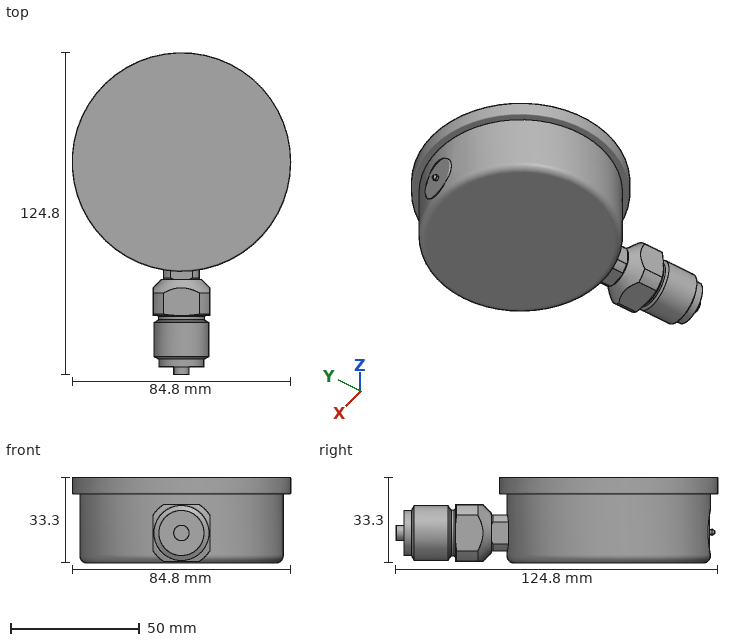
import cadquery as cq

total_height = 33.3
bezel_diameter = 84.8
bezel_height = 6.5
bezel_edge_round = 0.5
case_diameter = 79.0
case_bottom_round = 3.0

connector_axis_z = 11.7
connector_tip_y = -82.45
pin_diameter = 6.0
pin_length = 3.0
collar_diameter = 17.5
collar_length = 3.0
thread_diameter = 21.36
thread_length = 14.9
thread_tip_chamfer_length = 1.0
thread_root_chamfer_length = 0.75
relief_diameter = 18.0
relief_length = 2.1
relief_taper_length = 0.5
relief_taper_height = 0.35
wrench_flats = 22.0
wrench_corner_diameter = 26.0
wrench_length = 14.0
wrench_face_chamfer_length = 0.5
wrench_face_diameter = 22.5
neck_flats = 14.0
neck_corner_diameter = 16.4
neck_end_chamfer = 0.5
neck_end_y = -30.0

plug_axis_z = 12.0
plug_diameter = 17.5
plug_face_y = 39.15
plug_edge_round = 0.5
plug_depth = 5.0
vent_stalk_diameter = 2.0
vent_head_diameter = 2.5
vent_tip_diameter = 1.0
vent_head_y = 40.1
vent_tip_y = 41.2


def cylinder_along_y(diameter, start_y, end_y, axis_z):
    """Solid cylinder parallel to Y between two Y positions."""
    plane = cq.Workplane("XZ", origin=(0, start_y, axis_z))
    return plane.circle(diameter / 2).extrude(start_y - end_y)


def turned_along_y(profile, axis_z):
    """Solid of revolution about a Y axis; profile holds (radius, y) points between its axis ends."""
    axis_start = (0, profile[0][1])
    axis_end = (0, profile[-1][1])
    outline = cq.Workplane("XY", origin=(0, 0, axis_z)).polyline([axis_start, *profile, axis_end])
    return outline.close().revolve(360, (0, 0, 0), (0, 1, 0))


def flatted(turned, across_flats, start_y, end_y):
    """Trim a turned blank on the connector axis to a square bar, leaving round corners."""
    bar = cq.Workplane("XZ", origin=(0, start_y, connector_axis_z))
    bar = bar.rect(across_flats, across_flats).extrude(start_y - end_y)
    return turned.intersect(bar)


def make_housing():
    bezel_bottom_z = total_height - bezel_height
    case = cq.Workplane("XY").circle(case_diameter / 2).extrude(total_height - bezel_height / 2)
    case = case.faces("<Z").edges().fillet(case_bottom_round)
    bezel = cq.Workplane("XY", origin=(0, 0, bezel_bottom_z)).circle(bezel_diameter / 2).extrude(bezel_height)
    bezel = bezel.edges("%CIRCLE").fillet(bezel_edge_round)
    return case.union(bezel)


def make_connector():
    collar_start = connector_tip_y + pin_length
    thread_start = collar_start + collar_length
    relief_start = thread_start + thread_length
    wrench_start = relief_start + relief_length
    wrench_end = wrench_start + wrench_length

    pin_radius = pin_diameter / 2
    collar_radius = collar_diameter / 2
    thread_radius = thread_diameter / 2
    relief_radius = relief_diameter / 2
    relief_edge_radius = relief_radius + relief_taper_height
    spigot_profile = [
        (pin_radius, connector_tip_y),
        (pin_radius, collar_start),
        (collar_radius, collar_start),
        (collar_radius, thread_start),
        (thread_radius, thread_start + thread_tip_chamfer_length),
        (thread_radius, relief_start - thread_root_chamfer_length),
        (relief_edge_radius, relief_start),
        (relief_radius, relief_start + relief_taper_length),
        (relief_radius, wrench_start - relief_taper_length),
        (relief_edge_radius, wrench_start),
    ]
    spigot = turned_along_y(spigot_profile, connector_axis_z)

    wrench_radius = wrench_corner_diameter / 2
    neck_radius = neck_corner_diameter / 2
    root_radius = neck_radius - neck_end_chamfer
    wrench_profile = [
        (wrench_face_diameter / 2, wrench_start),
        (wrench_radius, wrench_start + wrench_face_chamfer_length),
        (wrench_radius, wrench_end - (wrench_radius - root_radius)),
        (root_radius, wrench_end),
    ]
    wrench_blank = turned_along_y(wrench_profile, connector_axis_z)
    wrench = flatted(wrench_blank, wrench_flats, wrench_start, wrench_end)

    neck_profile = [
        (root_radius, wrench_end),
        (neck_radius, wrench_end + neck_end_chamfer),
        (neck_radius, neck_end_y),
    ]
    neck_blank = turned_along_y(neck_profile, connector_axis_z)
    neck = flatted(neck_blank, neck_flats, wrench_end, neck_end_y)
    return spigot.union(wrench).union(neck)


def fit_plug(housing):
    """Replace the curved case wall by a flat plug face carrying a small vent nipple."""
    plug_back_y = plug_face_y - plug_depth
    clearance = cylinder_along_y(plug_diameter, plug_face_y, case_diameter / 2, plug_axis_z)
    plug = cylinder_along_y(plug_diameter, plug_back_y, plug_face_y, plug_axis_z)
    plug = plug.faces(">Y").edges().fillet(plug_edge_round)
    nipple_profile = [
        (vent_stalk_diameter / 2, plug_back_y),
        (vent_stalk_diameter / 2, vent_head_y),
        (vent_head_diameter / 2, vent_head_y),
        (vent_tip_diameter / 2, vent_tip_y),
    ]
    nipple = turned_along_y(nipple_profile, plug_axis_z)
    return housing.cut(clearance).union(plug).union(nipple)


result = fit_plug(make_housing()).union(make_connector())